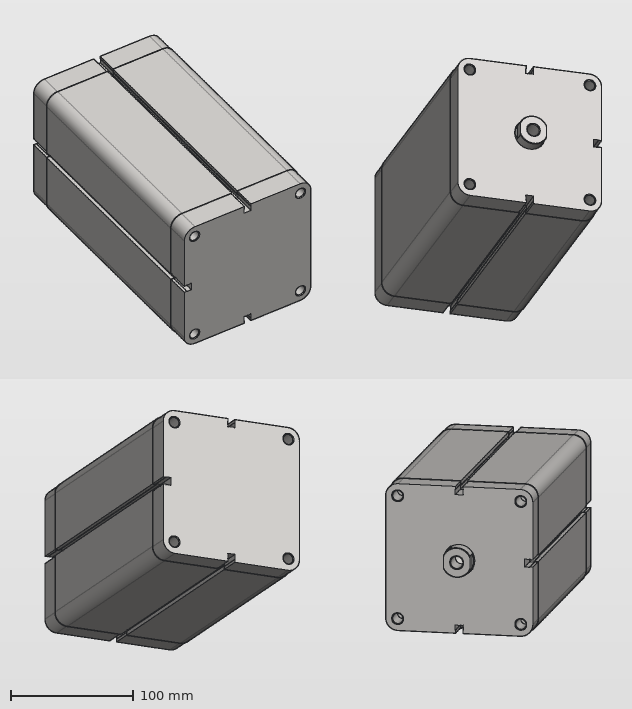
import cadquery as cq

ROD_PROJECTION = 10.0
CAP_LENGTH = 20.0
TOTAL_LENGTH = 237.0
BARREL_START = ROD_PROJECTION + CAP_LENGTH
BARREL_LENGTH = TOTAL_LENGTH - BARREL_START - CAP_LENGTH
REAR_CAP_START = BARREL_START + BARREL_LENGTH

BARREL_WIDTH = 124.0
CAP_WIDTH = 123.0
BOLT_OFFSET = 51.5
BOLT_CENTRES = [(y, z) for y in (-BOLT_OFFSET, BOLT_OFFSET) for z in (-BOLT_OFFSET, BOLT_OFFSET)]
CAP_CORNER_RADIUS = 10.5
BARREL_CORNER_RADIUS = 11.0
BOLT_HOLE_DIAMETER = 8.5
BOLT_HOLE_CHAMFER = 0.7
CHAMFER_ANGLE = 45

SLOT_WIDTH = 6.6
CAP_MOUTH_WIDTH = 6.2
CAP_LIP_DEPTH = 2.5
BARREL_MOUTH_WIDTH = 5.2
BARREL_LIP_DEPTH = 3.8
SLOT_FLOOR = BARREL_WIDTH / 2 - 7.3
SLOT_ANGLES = (0, 90, 180)

ROD_DIAMETER = 25.0
ROD_BORE_DIAMETER = 26.0
ROD_FLATS_WIDTH = 22.0
ROD_FLATS_LENGTH = 8.8
ROD_HOLE_DIAMETER = 10.2
ROD_HOLE_CHAMFER = 0.7
ROD_TIP_CHAMFER = 0.5
ROD_HOLE_DEPTH = 19.0
DRILL_POINT_DEPTH = 3.0


def section(start):
    """Workplane normal to X at the given position, with local axes along Y and Z."""
    return cq.Workplane("YZ", origin=(start, 0, 0))


def rounded_bar(start, length, width, corner_radius):
    return section(start).rect(width, width).extrude(length).edges("|X").fillet(corner_radius)


def cut_bolt_holes(body, start, length):
    holes = section(start).pushPoints(BOLT_CENTRES).circle(BOLT_HOLE_DIAMETER / 2).extrude(length)
    return body.cut(holes)


def channel(start, length, width, inner, outer):
    """Rectangular bar on the +Z side, between two distances from the X axis."""
    return section(start).center(0, (inner + outer) / 2).rect(width, outer - inner).extrude(length)


def cut_slots(body, start, length, body_width, mouth_width, lip_depth):
    surface = body_width / 2
    lip_bottom = surface - lip_depth
    cavity = channel(start, length, SLOT_WIDTH, SLOT_FLOOR, lip_bottom)
    mouth = channel(start, length, mouth_width, lip_bottom, surface)
    slot = cavity.union(mouth)
    for angle in SLOT_ANGLES:
        body = body.cut(slot.rotate((0, 0, 0), (1, 0, 0), angle))
    return body


def countersinks(face_x, inward):
    """Conical hole mouths on a cap face; inward is +1 or -1 along X."""
    mouth_radius = BOLT_HOLE_DIAMETER / 2 + BOLT_HOLE_CHAMFER
    mouths = section(face_x).pushPoints(BOLT_CENTRES).circle(mouth_radius)
    return mouths.extrude(inward * BOLT_HOLE_CHAMFER, taper=CHAMFER_ANGLE)


def make_cap(start, outer_face, inward):
    cap = rounded_bar(start, CAP_LENGTH, CAP_WIDTH, CAP_CORNER_RADIUS)
    cap = cut_bolt_holes(cap, start, CAP_LENGTH).cut(countersinks(outer_face, inward))
    return cut_slots(cap, start, CAP_LENGTH, CAP_WIDTH, CAP_MOUTH_WIDTH, CAP_LIP_DEPTH)


def make_front_cap():
    cap = make_cap(ROD_PROJECTION, ROD_PROJECTION, 1)
    rod_bore = section(ROD_PROJECTION).circle(ROD_BORE_DIAMETER / 2).extrude(CAP_LENGTH)
    return cap.cut(rod_bore)


def make_rear_cap():
    return make_cap(REAR_CAP_START, TOTAL_LENGTH, -1)


def make_barrel():
    barrel = rounded_bar(BARREL_START, BARREL_LENGTH, BARREL_WIDTH, BARREL_CORNER_RADIUS)
    barrel = cut_bolt_holes(barrel, BARREL_START, BARREL_LENGTH)
    return cut_slots(
        barrel, BARREL_START, BARREL_LENGTH, BARREL_WIDTH, BARREL_MOUTH_WIDTH, BARREL_LIP_DEPTH
    )


def make_rod():
    round_rod = section(0).circle(ROD_DIAMETER / 2).extrude(BARREL_START)
    round_rod = round_rod.faces("<X").chamfer(ROD_TIP_CHAMFER)
    flats = section(0).rect(ROD_FLATS_WIDTH, ROD_DIAMETER).extrude(ROD_FLATS_LENGTH)
    shank = section(ROD_FLATS_LENGTH).circle(ROD_DIAMETER / 2).extrude(BARREL_START - ROD_FLATS_LENGTH)
    hole_radius = ROD_HOLE_DIAMETER / 2
    drilled_hole = (
        cq.Workplane("XY")
        .lineTo(0, hole_radius + ROD_HOLE_CHAMFER)
        .lineTo(ROD_HOLE_CHAMFER, hole_radius)
        .lineTo(ROD_HOLE_DEPTH, hole_radius)
        .lineTo(ROD_HOLE_DEPTH + DRILL_POINT_DEPTH, 0)
        .close()
        .revolve(360, (0, 0, 0), (1, 0, 0))
    )
    return round_rod.intersect(flats.union(shank)).cut(drilled_hole)


front_cap = make_front_cap().solids().val()
barrel = make_barrel().solids().val()
rear_cap = make_rear_cap().solids().val()
rod = make_rod().solids().val()

result = cq.Compound.makeCompound([front_cap, barrel, rear_cap, rod])